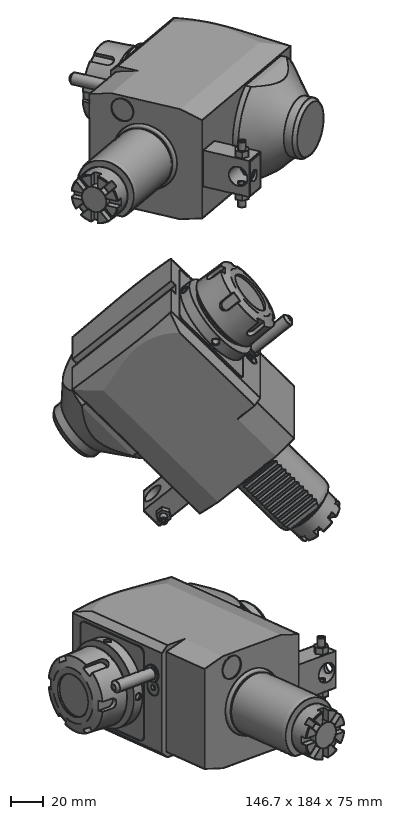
import cadquery as cq
import math


BODY_TOP = 37.5
BODY_BACK = 116.3
BODY_RIGHT = 39.0
HEAD_LEFT = -42.3
FOOT_LEFT = -38.8
HEAD_FRONT = 35.0
SLOPE = math.radians(15)
BEVEL_DROP = 4.0
BEVEL_RUN = BEVEL_DROP / math.tan(SLOPE)
BEVEL_Z = BODY_TOP - BEVEL_DROP
HEAD_CHAMFER = 4.6

CROWN_PEAK_X = -12.7
CROWN_PEAK_Y = 113.2
CROWN_LEFT_RADIUS = 36.8
CROWN_RIGHT_RADIUS = 52.8
CROWN_LINE_SLOPE = math.radians(16.5)

KEYWAY_WIDTH = 10.7
KEYWAY_DEPTH = 4.0

PLUG_X = -16.2
PLUG_Z = 27.8
PLUG_RADIUS = 7.5
PLUG_DEPTH = 0.7

SPINDLE_Y = 80.0
PLATE_WIDTH = 58.0
PLATE_HEIGHT = 63.0
PLATE_CORNER = 4.0
PLATE_THICKNESS = 0.5
FLANGE_RADIUS = 28.2
FLANGE_X = -50.0
NECK_RADIUS = 21.5
NUT_BACK_X = -52.3
NUT_BACK_RADIUS = 25.4
NUT_RADIUS = 24.8
NUT_SHOULDER_X = -72.7
NUT_FRONT_X = -74.9
NUT_FACE_RADIUS = 18.0
NUT_EDGE = 1.1
COLLET_RADIUS = 13.8
COLLET_DEPTH = 1.5
NUT_SLOT_WIDTH = 6.6
NUT_SLOT_FLOOR = 21.7
NUT_SLOT_END_X = -61.8
LONG_SLOT_END_X = -57.5
LONG_SLOT_ANGLES = (30, -30)
SHORT_SLOT_ANGLES = (90, 150, 210, 270)
FLANGE_HOLES = 4
FLANGE_HOLE_X = -46.4
FLANGE_HOLE_RADIUS = 2.4
FLANGE_HOLE_DEPTH = 3.7
FLANGE_HOLE_TIP = 2.2

COVER_RADIUS = 40.0
COVER_RING_X = 42.9
COVER_NECK_RADIUS = 19.3
COVER_NECK_X = COVER_RING_X + COVER_RADIUS - COVER_NECK_RADIUS
COVER_CHAMFER_X = 69.4
COVER_END_X = 71.8
COVER_END_RADIUS = 17.5
COVER_BACK = 111.7
COVER_HALF_HEIGHT = 32.4

PIN_Y = 43.5
PIN_Z = 17.5
PIN_RADIUS = 3.9
PIN_TIP_X = -74.5
PIN_TIP_CHAMFER = 1.8
PIN_COLLAR_RADIUS = 5.5
PIN_COLLAR_X = -43.6
SCREW_Z = 7.7
SCREW_RADIUS = 5.2
SCREW_RECESS = 0.4
SCREW_SOCKET_RADIUS = 1.8
SCREW_SOCKET_DEPTH = 2.2

SHANK_RADIUS = 20.0
SHANK_FLANGE_RADIUS = 21.7
SHANK_FLANGE_LENGTH = 2.2
SHANK_FLANGE_ROUND = 1.5
UNDERCUT_RADIUS = 19.5
UNDERCUT_END = 3.1
SHANK_CHAMFER_START = 49.9
SHANK_END = 52.6
SHANK_END_RADIUS = 19.5
COUPLING_NECK_RADIUS = 12.9
COUPLING_START = 53.7
COUPLING_END = 67.7
COUPLING_RADIUS = 16.2
COUPLING_EDGE = 0.5
TOOTH_GAPS = 8
TOOTH_GAP_WIDTH = 4.6
TOOTH_GAP_DEPTH = 4.8
HUB_RADIUS = 8.5
HUB_STEP = 0.4

RACK_PITCH = 4.0
RACK_GROOVES = 10
RACK_START = 10.1
RACK_CREST_Z = -15.6
RACK_ROOT_Z = -14.7

BRACKET_RIGHT = 71.2
BRACKET_FRONT = 1.5
BRACKET_BACK = 16.2
BRACKET_HALF_HEIGHT = 12.3
BRACKET_EDGE = 0.5
BRACKET_HOLE_RADIUS = 6.5
BRACKET_SIDE_BORE_RADIUS = 3.7
BRACKET_SIDE_BORE_Y = 7.2
SET_SCREW_X = 63.1
SET_SCREW_Y = 6.5
SET_SCREW_RADIUS = 2.48
SET_SCREW_INNER_Z = 7.0
SET_SCREW_END_Z = 22.0
SET_SCREW_SOCKET_RADIUS = 1.3
SET_SCREW_SOCKET_DEPTH = 1.5
LOCK_NUT_TOP_Z = 16.5
LOCK_NUT_ACROSS_CORNERS = 9.2

OVERLAP = 1.8
CLEAR = 110.4


def cylinder_x(radius, x_start, x_end, y, z):
    """Cylinder along X between two stations."""
    return cq.Workplane("YZ", origin=(x_start, 0, 0)).center(y, z).circle(radius).extrude(x_end - x_start)


def turned_x(profile):
    """Solid of revolution about the spindle axis from (x, radius) points."""
    points = [(x, SPINDLE_Y + radius) for x, radius in profile]
    return cq.Workplane("XY").polyline(points).close().revolve(360, (0, SPINDLE_Y), (1, SPINDLE_Y))


def block_section(left, left_run, y_front, y_back):
    """Length of body whose four long edges are bevelled."""
    right_run_x = BODY_RIGHT - BEVEL_RUN
    upper = [
        (left, BEVEL_Z), (left + left_run, BODY_TOP),
        (right_run_x, BODY_TOP), (BODY_RIGHT, BEVEL_Z),
    ]
    lower = [(x, -z) for x, z in reversed(upper)]
    section = cq.Workplane("XZ", origin=(0, y_front, 0)).polyline(upper + lower).close()
    return section.extrude(y_front - y_back)


def crown_envelope():
    """Top limit of the body: two conical stretches that run into a sloping plane at the rear."""
    peak = (CROWN_PEAK_X, CROWN_PEAK_Y)
    left_end = (CROWN_PEAK_X - CROWN_LEFT_RADIUS, CROWN_PEAK_Y - CROWN_LEFT_RADIUS)
    tangent = (
        CROWN_PEAK_X + CROWN_RIGHT_RADIUS * math.sin(CROWN_LINE_SLOPE),
        CROWN_PEAK_Y - CROWN_RIGHT_RADIUS * (1 - math.cos(CROWN_LINE_SLOPE)),
    )
    line_end = (CLEAR, tangent[1] - (CLEAR - tangent[0]) * math.tan(CROWN_LINE_SLOPE))
    flat_top = (
        cq.Workplane("XY", origin=(0, 0, BODY_TOP))
        .moveTo(*left_end)
        .radiusArc(peak, CROWN_LEFT_RADIUS)
        .radiusArc(tangent, CROWN_RIGHT_RADIUS)
        .lineTo(*line_end)
        .lineTo(CLEAR, -CLEAR)
        .lineTo(left_end[0], -CLEAR)
        .close()
    )
    depth = 2 * BEVEL_DROP
    crown = flat_top.extrude(-depth, taper=math.degrees(SLOPE) - 90)
    core_height = 2 * (BODY_TOP - depth)
    core = cq.Workplane("XY").box(4 * CLEAR, 4 * CLEAR, core_height)
    return core.union(crown).union(crown.mirror("XY"))


def make_body():
    head = block_section(HEAD_LEFT, HEAD_CHAMFER, HEAD_FRONT, BODY_BACK)
    foot = block_section(FOOT_LEFT, BEVEL_RUN, 0, HEAD_FRONT)
    body = head.union(foot).intersect(crown_envelope())
    keyway = cq.Workplane("XY").box(2 * CLEAR, 2 * KEYWAY_DEPTH, KEYWAY_WIDTH).translate((0, BODY_BACK, 0))
    plug = cq.Workplane("XZ").center(PLUG_X, PLUG_Z).circle(PLUG_RADIUS).extrude(-PLUG_DEPTH)
    plate = (
        cq.Workplane("XY")
        .box(PLATE_THICKNESS + OVERLAP, PLATE_WIDTH, PLATE_HEIGHT)
        .edges("|X").fillet(PLATE_CORNER)
        .translate((HEAD_LEFT + (OVERLAP - PLATE_THICKNESS) / 2, SPINDLE_Y, 0))
    )
    return body.cut(keyway).cut(plug).union(plate)


def nut_slot(end_x):
    """Cutter for a round-ended wrench slot on top of the nut, open at the nut's face."""
    return (
        cq.Workplane("XY", origin=(NUT_FRONT_X, SPINDLE_Y, NUT_SLOT_FLOOR))
        .slot2D(2 * (end_x - NUT_FRONT_X), NUT_SLOT_WIDTH)
        .extrude(NUT_BACK_RADIUS)
    )


def make_spindle():
    profile = [
        (HEAD_LEFT + OVERLAP, 0),
        (HEAD_LEFT + OVERLAP, FLANGE_RADIUS),
        (FLANGE_X, FLANGE_RADIUS),
        (FLANGE_X, NECK_RADIUS),
        (NUT_BACK_X, NECK_RADIUS),
        (NUT_BACK_X, NUT_BACK_RADIUS - NUT_EDGE),
        (NUT_BACK_X - NUT_EDGE, NUT_BACK_RADIUS),
        (NUT_SHOULDER_X, NUT_RADIUS),
        (NUT_FRONT_X, NUT_FACE_RADIUS),
        (NUT_FRONT_X, COLLET_RADIUS),
        (NUT_FRONT_X + COLLET_DEPTH, COLLET_RADIUS),
        (NUT_FRONT_X + COLLET_DEPTH, 0),
    ]
    spindle = turned_x(profile)
    hole = (
        cq.Workplane("XY", origin=(FLANGE_HOLE_X, SPINDLE_Y, FLANGE_RADIUS - FLANGE_HOLE_DEPTH))
        .circle(FLANGE_HOLE_RADIUS)
        .extrude(2 * FLANGE_HOLE_DEPTH)
        .faces("<Z").chamfer(FLANGE_HOLE_TIP)
    )
    axis = ((0, SPINDLE_Y, 0), (1, SPINDLE_Y, 0))
    for angle in SHORT_SLOT_ANGLES:
        spindle = spindle.cut(nut_slot(NUT_SLOT_END_X).rotate(*axis, angle))
    for angle in LONG_SLOT_ANGLES:
        spindle = spindle.cut(nut_slot(LONG_SLOT_END_X).rotate(*axis, angle))
    for i in range(FLANGE_HOLES):
        spindle = spindle.cut(hole.rotate(*axis, i * 360 / FLANGE_HOLES))
    return spindle


def make_cover():
    profile = [
        (BODY_RIGHT - OVERLAP, 0),
        (BODY_RIGHT - OVERLAP, COVER_RADIUS),
        (COVER_RING_X, COVER_RADIUS),
        (COVER_NECK_X, COVER_NECK_RADIUS),
        (COVER_CHAMFER_X, COVER_NECK_RADIUS),
        (COVER_END_X, COVER_END_RADIUS),
        (COVER_END_X, 0),
    ]
    end_height = COVER_HALF_HEIGHT - (COVER_END_X - COVER_RING_X) * math.tan(SLOPE)
    upper = [(0, COVER_HALF_HEIGHT), (COVER_RING_X, COVER_HALF_HEIGHT), (COVER_END_X, end_height)]
    lower = [(x, -z) for x, z in reversed(upper)]
    envelope = cq.Workplane("XZ", origin=(0, COVER_BACK, 0)).polyline(upper + lower).close().extrude(CLEAR)
    return turned_x(profile).intersect(envelope)


def make_pin():
    pin = cylinder_x(PIN_RADIUS, PIN_TIP_X, HEAD_LEFT + OVERLAP, PIN_Y, PIN_Z)
    pin = pin.faces("<X").chamfer(PIN_TIP_CHAMFER)
    return pin.union(cylinder_x(PIN_COLLAR_RADIUS, PIN_COLLAR_X, HEAD_LEFT + OVERLAP, PIN_Y, PIN_Z))


def screw_recess():
    seat = cylinder_x(SCREW_RADIUS, HEAD_LEFT, HEAD_LEFT + SCREW_RECESS, PIN_Y, SCREW_Z)
    return seat.union(cylinder_x(SCREW_SOCKET_RADIUS, HEAD_LEFT, HEAD_LEFT + SCREW_SOCKET_DEPTH, PIN_Y, SCREW_Z))


def make_shank():
    tooth_end = COUPLING_END - HUB_STEP
    profile = [
        (0, -OVERLAP),
        (UNDERCUT_RADIUS, -OVERLAP),
        (UNDERCUT_RADIUS, UNDERCUT_END),
        (SHANK_RADIUS, UNDERCUT_END),
        (SHANK_RADIUS, SHANK_CHAMFER_START),
        (SHANK_END_RADIUS, SHANK_END),
        (COUPLING_NECK_RADIUS, SHANK_END),
        (COUPLING_NECK_RADIUS, COUPLING_START),
        (COUPLING_RADIUS - COUPLING_EDGE, COUPLING_START),
        (COUPLING_RADIUS, COUPLING_START + COUPLING_EDGE),
        (COUPLING_RADIUS, tooth_end - COUPLING_EDGE),
        (COUPLING_RADIUS - COUPLING_EDGE, tooth_end),
        (HUB_RADIUS, tooth_end),
        (HUB_RADIUS, COUPLING_END),
        (0, COUPLING_END),
    ]
    points = [(radius, -distance) for radius, distance in profile]
    shank = cq.Workplane("XY").polyline(points).close().revolve(360, (0, 0), (0, 1))
    gap_bar = (
        cq.Workplane("XZ", origin=(0, TOOTH_GAP_DEPTH - COUPLING_END, 0))
        .rect(2 * COUPLING_RADIUS + OVERLAP, TOOTH_GAP_WIDTH)
        .extrude(2 * TOOTH_GAP_DEPTH)
    )
    hub = cq.Workplane("XZ", origin=(0, -COUPLING_START, 0)).circle(HUB_RADIUS).extrude(COUPLING_END)
    for i in range(TOOTH_GAPS // 2):
        bar = gap_bar.rotate((0, 0, 0), (0, 1, 0), i * 360 / TOOTH_GAPS)
        shank = shank.cut(bar.cut(hub))
    flange = (
        cq.Workplane("XZ")
        .circle(SHANK_FLANGE_RADIUS)
        .extrude(SHANK_FLANGE_LENGTH)
        .faces("<Y").edges().fillet(SHANK_FLANGE_ROUND)
    )
    return shank.cut(rack_cutter()).union(flange)


def rack_cutter():
    """Clamping rack under the shank: V grooves entered by a 45 degree ramp."""
    outside_z = -(SHANK_FLANGE_RADIUS + OVERLAP)
    ramp_start = RACK_START - (RACK_CREST_Z - outside_z)
    groove_depth = RACK_ROOT_Z - RACK_CREST_Z
    points = [(-ramp_start, outside_z), (-RACK_START, RACK_CREST_Z)]
    for i in range(RACK_GROOVES):
        crest = RACK_START + i * RACK_PITCH
        points.append((-crest - 2 * groove_depth, RACK_ROOT_Z))
        points.append((-crest - RACK_PITCH + groove_depth / 2, RACK_CREST_Z))
    points.append((-SHANK_END, RACK_CREST_Z))
    points.append((-SHANK_END, outside_z))
    cutter = cq.Workplane("YZ").polyline(points).close().extrude(SHANK_RADIUS, both=True)
    flange_zone = cq.Workplane("XZ").circle(CLEAR).extrude(SHANK_FLANGE_LENGTH)
    return cutter.cut(flange_zone)


def make_bracket():
    left = BODY_RIGHT - OVERLAP
    arm = (
        cq.Workplane("XY", origin=(0, 0, -BRACKET_HALF_HEIGHT))
        .moveTo(left, BRACKET_FRONT)
        .lineTo(BRACKET_RIGHT, BRACKET_FRONT)
        .lineTo(BRACKET_RIGHT, BRACKET_BACK)
        .lineTo(left, BRACKET_BACK)
        .close()
        .extrude(2 * BRACKET_HALF_HEIGHT)
        .faces(">X").edges().chamfer(BRACKET_EDGE)
    )
    hole = cq.Workplane("XZ").center(SET_SCREW_X, 0).circle(BRACKET_HOLE_RADIUS).extrude(-2 * BRACKET_BACK)
    screw_axis = cq.Workplane("XY", origin=(SET_SCREW_X, SET_SCREW_Y, 0))
    bore = screw_axis.circle(SET_SCREW_RADIUS).extrude(SET_SCREW_INNER_Z, both=True)
    screw = (
        screw_axis.workplane(offset=SET_SCREW_INNER_Z)
        .circle(SET_SCREW_RADIUS)
        .extrude(SET_SCREW_END_Z - SET_SCREW_INNER_Z)
        .faces(">Z").workplane()
        .circle(SET_SCREW_SOCKET_RADIUS)
        .cutBlind(-SET_SCREW_SOCKET_DEPTH)
    )
    lock_nut = (
        screw_axis.workplane(offset=BRACKET_HALF_HEIGHT)
        .polygon(6, LOCK_NUT_ACROSS_CORNERS)
        .extrude(LOCK_NUT_TOP_Z - BRACKET_HALF_HEIGHT)
    )
    fastener = screw.union(lock_nut)
    side_bore = cylinder_x(BRACKET_SIDE_BORE_RADIUS, SET_SCREW_X, BRACKET_RIGHT, BRACKET_SIDE_BORE_Y, 0)
    return arm.cut(hole).cut(side_bore).cut(bore).union(fastener).union(fastener.mirror("XY"))


result = (
    make_body()
    .cut(screw_recess())
    .union(make_spindle())
    .union(make_cover())
    .union(make_pin())
    .union(make_shank())
    .union(make_bracket())
)